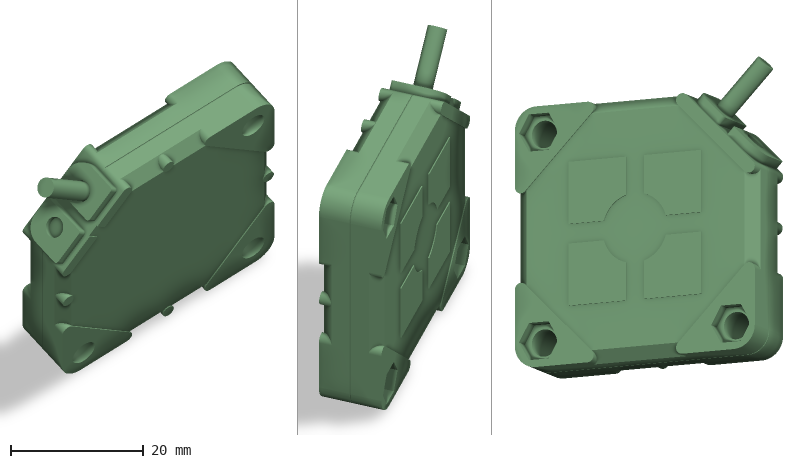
import cadquery as cq
import math

thickness = 10.0
side = 40.0
half_side = side / 2
corner_radius = 3.5
tip_radius = 1.0
face_recess = 0.2
edge_setback = 2.0
bevel = edge_setback - face_recess

cut_distance = half_side
block_distance = cut_distance - 2 * tip_radius

hole_offset = 16.0
hole_diameter = 4.2
nut_across_flats = 5.7
nut_depth = 2.0

groove_width = 0.2
groove_depth = 0.15

pad_inner = 1.5
pad_outer = 11.05
pad_clearance_radius = 5.4

pin_diameter = 2.0
pin_edge_gap = 0.1
strip_gap = 2.0

gland_width = 8.1
gland_near = 1.0
gland_far = 7.5
gland_height = 1.5
gland_large_radius = 3.0
gland_small_radius = 0.5
socket_offset = 3.6
socket_diameter = 3.2
socket_depth = 1.0
cable_diameter = 3.0
cable_length = 11.1

half_thickness = thickness / 2
corner_angles = (0, 90, 180, 270)


def yz_plane(x):
    return cq.Workplane("YZ", origin=(x, 0, 0))


def around_x(shape, angle):
    return shape.rotate((0, 0, 0), (1, 0, 0), angle)


def housing_prism(half, width):
    """Rounded square prism with the (-Y, +Z) corner cut off at 45 degrees."""
    cut_end = cut_distance * math.sqrt(2) - half
    outline = [(-half, -half), (half, -half), (half, half), (-cut_end, half), (-half, cut_end)]
    prism = yz_plane(-width / 2).polyline(outline).close().extrude(width)
    prism = prism.edges("|X").edges("not (>Y or <Z)").fillet(tip_radius)
    return prism.edges("|X").edges(">Y or <Z").fillet(corner_radius)


def bevelled_core():
    """Square plate whose two large faces have sloping borders."""
    core = cq.Workplane("XY").box(thickness - 2 * face_recess, 2 * half_side, 2 * half_side)
    return core.faces("<X or >X").chamfer(bevel)


def corner_block():
    """Full-thickness triangle in the (+Y, +Z) corner with rounded tips."""
    tip = block_distance * math.sqrt(2) - half_side
    outline = [(half_side, tip), (half_side, half_side), (tip, half_side)]
    block = yz_plane(-half_thickness).polyline(outline).close().extrude(thickness)
    return block.edges("|X").edges("<Y or <Z").fillet(tip_radius)


def edge_pin():
    """Round pin rising from the sloping border at the middle of the +Z side."""
    centre = half_side - pin_edge_gap - pin_diameter / 2
    return yz_plane(0).center(0, centre).circle(pin_diameter / 2).extrude(half_thickness)


def quadrant_pad():
    """Square pad on the -X face with its inner corner cut by a circle."""
    size = pad_outer - pad_inner
    middle = (pad_outer + pad_inner) / 2
    pad = yz_plane(-half_thickness).center(middle, middle).rect(size, size).extrude(face_recess)
    return pad.cut(yz_plane(-half_thickness).circle(pad_clearance_radius).extrude(face_recess))


def housing():
    body = bevelled_core()
    for angle in corner_angles:
        body = body.union(around_x(corner_block(), angle))
        body = body.union(around_x(edge_pin(), angle))
        body = body.union(around_x(quadrant_pad(), angle))
    body = body.intersect(housing_prism(half_side, thickness))
    groove = housing_prism(half_side, groove_width)
    groove = groove.cut(housing_prism(half_side - groove_depth, groove_width))
    return body.cut(groove)


def mounting_holes():
    points = [(hole_offset, hole_offset), (hole_offset, -hole_offset), (-hole_offset, -hole_offset)]
    nut_circumdiameter = nut_across_flats / math.cos(math.pi / 6)
    outer_face = yz_plane(-half_thickness).pushPoints(points)
    holes = outer_face.circle(hole_diameter / 2).extrude(thickness)
    nuts = outer_face.polygon(6, nut_circumdiameter).extrude(nut_depth)
    return holes.union(nuts)


cut_centre = cut_distance / math.sqrt(2)
cut_face = cq.Workplane(cq.Plane(origin=(0, -cut_centre, cut_centre), xDir=(1, 0, 0), normal=(0, -1, 1)))


def gland_plate():
    """Upper gland: a plate with a large radius at its outer -X corner."""
    length = gland_far - gland_near
    middle = (gland_near + gland_far) / 2
    plate = cut_face.center(0, middle).rect(gland_width, length).extrude(gland_height)
    plate = plate.edges("|(0,-1,1)").edges("<X").edges(">Z").fillet(gland_large_radius)
    small_corners = plate.edges("|(0,-1,1)").edges(">X or <Z")
    return small_corners.fillet(gland_small_radius)


def add_glands(body):
    """Two mirrored glands with sockets; the upper socket holds the cable."""
    upper = gland_plate()
    lower = upper.mirror(cq.Vector(0, 1, 1))
    body = body.union(upper).union(lower)
    socket_floor = cut_face.workplane(offset=gland_height - socket_depth)
    sockets = socket_floor.pushPoints([(0, socket_offset), (0, -socket_offset)])
    body = body.cut(sockets.circle(socket_diameter / 2).extrude(socket_depth))
    cable = cut_face.center(0, socket_offset).circle(cable_diameter / 2).extrude(cable_length)
    return body.union(cable)


def corner_strip_gap():
    """Shallow gap across the middle of the strip beside the cut face, on the +X side."""
    gap = cut_face.center(half_thickness - face_recess / 2, 0).rect(face_recess, strip_gap)
    return gap.extrude(block_distance - cut_distance)


drilled_housing = housing().cut(mounting_holes())
result = add_glands(drilled_housing.cut(corner_strip_gap()))